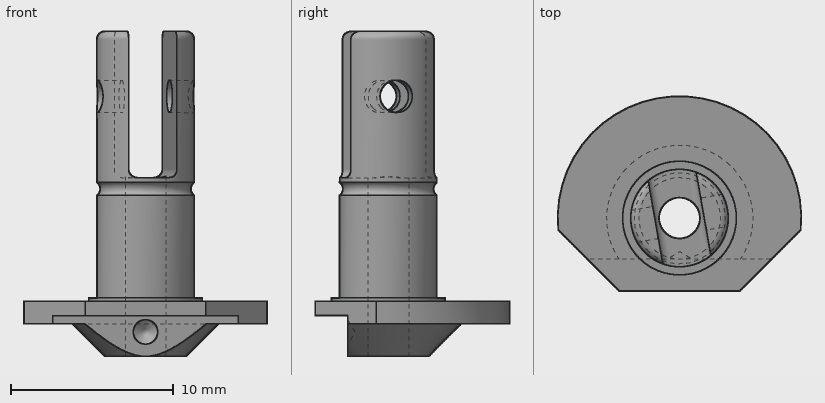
import cadquery as cq
import math

total_height = 20.0
bore_diameter = 2.5

cut_margin = 0.2

flange_diameter = 15.0
flange_bottom = 2.0
flange_top = 3.4
flange_front_y = -4.5
front_edge_width = 7.4

cone_bottom_diameter = 5.0
cone_top_diameter = cone_bottom_diameter + 2 * flange_bottom

step_y = -cone_bottom_diameter / 2
step_top = 2.5

dimple_diameter = 1.5
dimple_height = 1.5
dimple_angle = 118.0

shaft_diameter = 6.0
shaft_edge_radius = 0.5
collar_diameter = 7.0
collar_top = 3.6

groove_bottom = 9.9
groove_width = 0.8
groove_depth = 0.2

fork_angle = 10.0
slot_width = 3.0
slot_bottom = 11.0
slot_corner_radius = 0.5
cross_hole_diameter = 2.0
cross_hole_height = 16.0


def cylinder(diameter, bottom, top):
    """Vertical cylinder on the Z axis between two heights."""
    return cq.Workplane("XY").workplane(offset=bottom).circle(diameter / 2).extrude(top - bottom)


def make_flange():
    """Disc trimmed to its front edge and 45 degree corners."""
    radius = flange_diameter / 2
    half_edge = front_edge_width / 2
    outside = radius + cut_margin
    corner_clear_y = flange_front_y + outside - half_edge
    trim = (
        cq.Workplane("XY")
        .workplane(offset=flange_bottom)
        .polyline(
            [
                (-half_edge, flange_front_y),
                (half_edge, flange_front_y),
                (outside, corner_clear_y),
                (outside, outside),
                (-outside, outside),
                (-outside, corner_clear_y),
            ]
        )
        .close()
        .extrude(flange_top - flange_bottom)
    )
    return cylinder(flange_diameter, flange_bottom, flange_top).intersect(trim)


def make_cone():
    """Cone that widens from the bottom face up to the flange."""
    profile = [
        (0, 0),
        (cone_bottom_diameter / 2, 0),
        (cone_top_diameter / 2, flange_bottom),
        (0, flange_bottom),
    ]
    return cq.Workplane("XZ").polyline(profile).close().revolve(360, (0, 0), (0, 1))


def make_shaft():
    """Shaft with a rounded top edge, standing on its collar."""
    shaft = cylinder(shaft_diameter, flange_top, total_height).faces(">Z").edges().fillet(shaft_edge_radius)
    return shaft.union(cylinder(collar_diameter, flange_top, collar_top))


def make_groove():
    """Ring cutter whose section is a circular segment."""
    radius = shaft_diameter / 2
    return (
        cq.Workplane("XZ")
        .moveTo(radius, groove_bottom)
        .threePointArc(
            (radius - groove_depth, groove_bottom + groove_width / 2),
            (radius, groove_bottom + groove_width),
        )
        .lineTo(radius + cut_margin, groove_bottom + groove_width)
        .lineTo(radius + cut_margin, groove_bottom)
        .close()
        .revolve(360, (0, 0), (0, 1))
    )


def make_step():
    """Block that removes the front of the cone and part of the flange underside."""
    return cq.Workplane("XY").box(
        flange_diameter, flange_diameter, step_top, centered=(True, False, False)
    ).translate((0, step_y - flange_diameter, 0))


def make_dimple():
    """Cone pointing into the part from the step face."""
    radius = dimple_diameter / 2
    depth = radius / math.tan(math.radians(dimple_angle / 2))
    cone = cq.Solid.makeCone(radius, 0, depth, cq.Vector(0, step_y, dimple_height), cq.Vector(0, 1, 0))
    return cq.Workplane("XY").add(cone)


def make_fork_cut():
    """Slot with rounded bottom corners, and the hole that crosses both prongs."""
    slot = (
        cq.Workplane("XY")
        .box(slot_width, 2 * shaft_diameter, total_height - slot_bottom, centered=(True, True, False))
        .translate((0, 0, slot_bottom))
        .edges("|Y and <Z")
        .fillet(slot_corner_radius)
    )
    cross_hole = (
        cq.Workplane("YZ")
        .center(0, cross_hole_height)
        .circle(cross_hole_diameter / 2)
        .extrude(shaft_diameter, both=True)
    )
    return slot.union(cross_hole).rotate((0, 0, 0), (0, 0, 1), fork_angle)


body = make_flange().union(make_cone()).union(make_shaft())
body = body.cut(make_groove())
body = body.cut(make_step())
body = body.cut(make_dimple())
body = body.cut(make_fork_cut())
result = body.cut(cylinder(bore_diameter, 0, total_height))